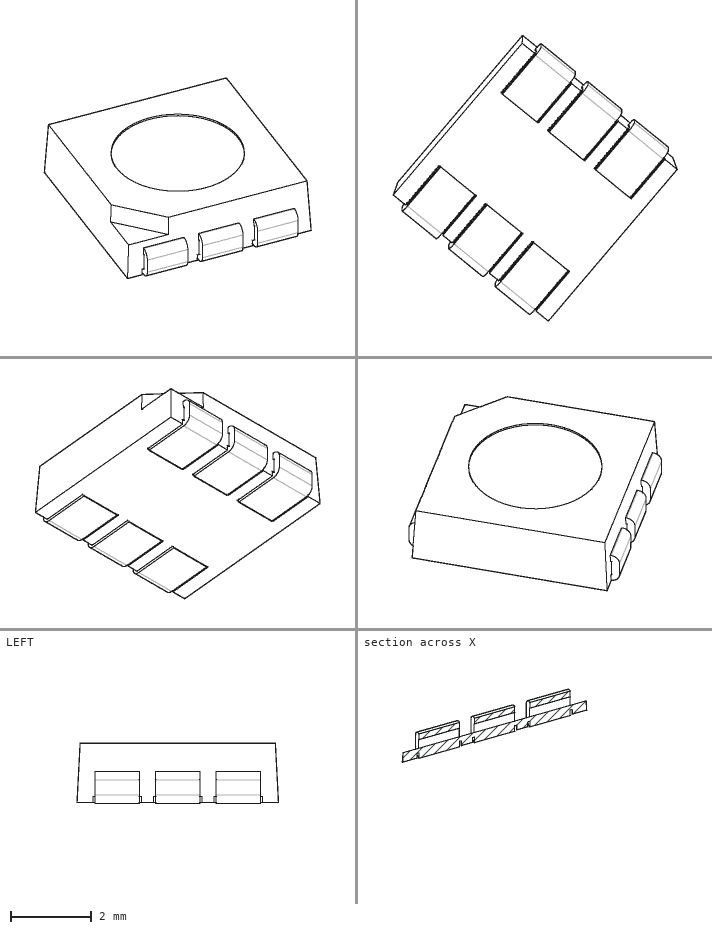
import cadquery as cq
import math


overall_width = 5.4
overall_height = 1.5
body_size = 5.0
stand_off = 0.02
draft_angle = 3.0

notch_depth = 0.5
notch_leg = 1.07

window_radius = 1.65
window_depth = 0.05

lead_pitch = 1.5
lead_width = 1.1
lead_height = 0.8
lead_thickness = 0.2
bend_radius = 0.215
foot_thickness = 0.18
foot_inner_x = 1.2
slot_clearance = 0.05

draft_slope = math.tan(math.radians(draft_angle))
notch_floor_z = overall_height - notch_depth
lower_height = notch_floor_z - stand_off
top_half = body_size / 2 - (overall_height - stand_off) * draft_slope
floor_half = top_half + notch_depth * draft_slope
notch_wall_top = (2 * top_half - notch_leg) / math.sqrt(2)
notch_wall_floor = notch_wall_top + notch_depth * draft_slope
notch_near = notch_wall_floor * math.sqrt(2) - floor_half

lead_outer_x = overall_width / 2
lead_inner_x = lead_outer_x - lead_thickness
bend_x = lead_outer_x - bend_radius
lead_top_inner_x = body_size / 2 - lead_height * draft_slope - lead_thickness


def make_body():
    """Drafted square block whose upper part lacks the +X -Y corner."""
    lower = (
        cq.Workplane("XY", origin=(0, 0, stand_off))
        .rect(body_size, body_size)
        .extrude(lower_height, taper=draft_angle)
    )
    upper = (
        cq.Workplane("XY", origin=(0, 0, notch_floor_z))
        .moveTo(-floor_half, -floor_half)
        .lineTo(notch_near, -floor_half)
        .lineTo(floor_half, -notch_near)
        .lineTo(floor_half, floor_half)
        .lineTo(-floor_half, floor_half)
        .close()
        .extrude(notch_depth, taper=draft_angle)
    )
    return lower.union(upper)


def make_window():
    """Shallow round recess in the top face."""
    return (
        cq.Workplane("XY", origin=(0, 0, overall_height - window_depth))
        .circle(window_radius)
        .extrude(window_depth)
    )


def make_foot_slot(y):
    """Channel under the +X side of the body that takes one foot."""
    return cq.Workplane("XY").box(
        lead_outer_x - foot_inner_x,
        lead_width + 2 * slot_clearance,
        foot_thickness,
        centered=(False, True, False),
    ).translate((foot_inner_x, y, 0))


def make_lead(y):
    """C-shaped lead on the +X side: foot, upright and a short top arm entering the body."""
    return (
        cq.Workplane("XZ", origin=(0, y + lead_width / 2, 0))
        .moveTo(foot_inner_x, 0)
        .lineTo(bend_x, 0)
        .radiusArc((lead_outer_x, bend_radius), -bend_radius)
        .lineTo(lead_outer_x, lead_height - bend_radius)
        .radiusArc((bend_x, lead_height), -bend_radius)
        .lineTo(lead_top_inner_x, lead_height)
        .lineTo(lead_top_inner_x, lead_height - lead_thickness)
        .lineTo(lead_inner_x, lead_height - lead_thickness)
        .lineTo(lead_inner_x, foot_thickness)
        .lineTo(foot_inner_x, foot_thickness)
        .close()
        .extrude(lead_width)
    )


result = make_body().cut(make_window())

for side_angle in (0, 180):
    for row in (-1, 0, 1):
        lead_y = row * lead_pitch
        slot = make_foot_slot(lead_y).rotate((0, 0, 0), (0, 0, 1), side_angle)
        lead = make_lead(lead_y).rotate((0, 0, 0), (0, 0, 1), side_angle)
        result = result.cut(slot).union(lead)